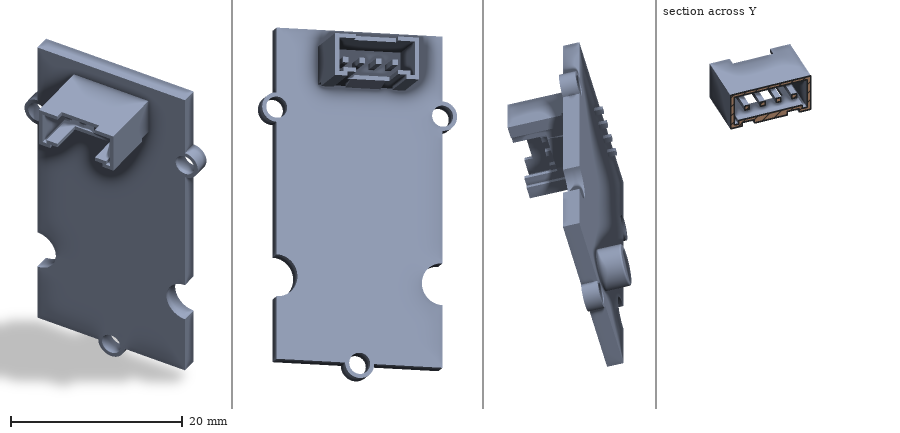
import cadquery as cq

overall_height = 41.25
overall_width = 23.5
board_width = 20.0
board_thickness = 2.0
ear_radius = (overall_width - board_width) / 2
board_height = overall_height - ear_radius
ear_hole_diameter = 2.5
ear_drop = 9.5
notch_diameter = 5.0
notch_drop = 29.55

button_diameter = 5.0
button_length = 3.0
button_height = 5.0
button_rim = 0.2

housing_width = 10.1
housing_height = 5.0
housing_depth = 8.0
housing_top = board_height - 2.02
housing_bottom = housing_top - housing_height
wall = 0.5
base_depth = 1.5
floor_width = 7.1
raised_floor_width = floor_width + 2 * wall
mouth_width = 5.07
roof_cut_depth = 1.0
floor_stub_depth = 2.5
latch_width = 4.2

pin_count = 4
pin_pitch = 2.0
pin_size = 0.65
pin_height = board_height - 4.45
pin_tail = 1.0
pin_reach = 5.0


def block(width, y_range, z_range):
    """Box centred on x = 0 between the given y and z limits."""
    y_min, y_max = y_range
    z_min, z_max = z_range
    box = cq.Workplane("XY").box(width, y_max - y_min, z_max - z_min, centered=(True, False, False))
    return box.translate((0, y_min, z_min))


def cylinder(x, z, diameter, length):
    """Cylinder along +Y starting on the board's front face."""
    disc = cq.Workplane("XZ").center(x, z).circle(diameter / 2)
    return disc.extrude(-length)


def make_board():
    half_width = board_width / 2
    board = block(board_width, (0, board_thickness), (0, board_height))
    side_ear_height = board_height - ear_drop
    ears = [(-half_width, side_ear_height), (half_width, side_ear_height), (0, 0)]
    for x, z in ears:
        board = board.union(cylinder(x, z, 2 * ear_radius, board_thickness))
        board = board.cut(cylinder(x, z, ear_hole_diameter, board_thickness))
    for x in (-half_width, half_width):
        board = board.cut(cylinder(x, board_height - notch_drop, notch_diameter, board_thickness))
    return board


def make_button():
    button = cylinder(0, button_height, button_diameter, board_thickness + button_length)
    return button.faces(">Y").edges().fillet(button_rim)


def make_housing():
    front = -housing_depth
    floor_underside = housing_bottom + wall
    floor_surface = floor_underside + wall
    floor_cut_end = -(base_depth + floor_stub_depth)

    housing = block(housing_width, (front, 0), (housing_bottom, housing_top))
    housing = housing.cut(block(housing_width, (-base_depth, 0), (housing_bottom, floor_underside)))
    housing = housing.cut(block(floor_width, (front, 0), (housing_bottom, floor_underside)))

    cavity = block(housing_width - 2 * wall, (front, -base_depth), (floor_underside, housing_top - wall))
    raised_floor = block(raised_floor_width, (front, -base_depth), (floor_underside, floor_surface))
    housing = housing.cut(cavity.cut(raised_floor))

    housing = housing.cut(block(mouth_width, (front, front + roof_cut_depth), (housing_top - wall, housing_top)))
    housing = housing.cut(block(mouth_width, (front, floor_cut_end), (floor_underside, floor_surface)))

    latch_profile = [
        (floor_cut_end, floor_underside),
        (-base_depth, floor_underside),
        (-base_depth, housing_bottom),
    ]
    latch = cq.Workplane("YZ").polyline(latch_profile).close().extrude(latch_width / 2, both=True)
    return housing.union(latch)


def make_pin(index):
    x = (index - (pin_count - 1) / 2) * pin_pitch
    half = pin_size / 2
    y_range = (-pin_reach, board_thickness + pin_tail)
    return block(pin_size, y_range, (pin_height - half, pin_height + half)).translate((x, 0, 0))


result = make_board().union(make_button()).union(make_housing())
for pin_index in range(pin_count):
    result = result.union(make_pin(pin_index))